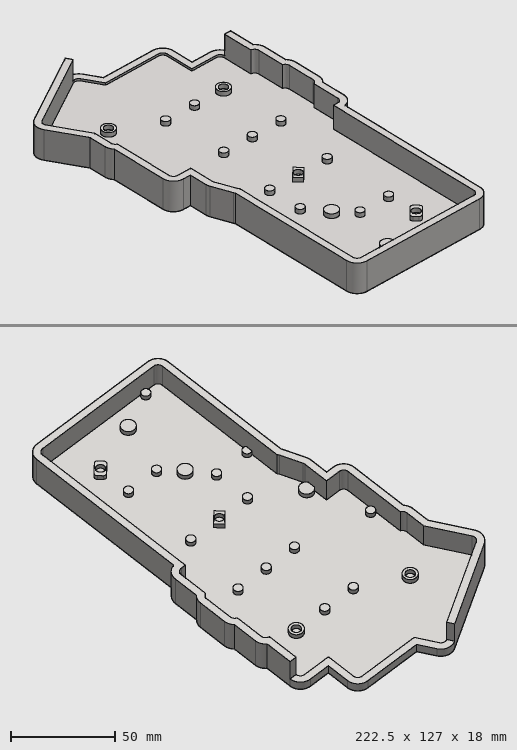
import cadquery as cq
import math

case_height = 18.0
low_rim_height = 5.3
floor_thickness = 4.0
post_height = 6.7
boss_height = post_height - floor_thickness

wall = 4.0
corner_radius = 3.0

outer_column_left = 16.2
outer_column_top = 99.5
pinky_left = 36.3
pinky_right = 70.0
pinky_top = 118.5
pinky_bottom = 16.5
ring_left = 57.5
index_right = 118.0
ring_index_top = 121.0
middle_left = 76.5
middle_right = 98.5
middle_top = 123.0
tray_right = 108.5
tray_bottom = 18.2
column_overlap_bottom = 44.5

block_right = 218.5
block_top = 115.5
block_bottom = 35.2
shelf_left = 100.1
shelf_right = 124.0
shelf_bottom = 29.8
shelf_slope = math.radians(21.0)
shelf_slope_run = 26.7

thumb_angle = math.radians(30.0)
thumb_length = 44.5
thumb_depth = 58.8
thumb_margin = wall - corner_radius * (math.cos(thumb_angle) + math.sin(thumb_angle) - 1)
thumb_corner_x = thumb_margin + thumb_depth * math.sin(thumb_angle)
thumb_corner_y = thumb_margin

low_rim_right = pinky_left + corner_radius

post_diameter = 5.0
pad_diameter = 7.8
screw_hole_diameter = 5.0
block_boss_angle = -45.0

post_places = [
    (59.0, 79.7), (59.0, 60.5),
    (97.0, 100.5), (97.0, 81.7), (97.0, 62.8),
    (135.0, 95.0), (135.0, 57.0),
    (178.0, 94.8), (178.0, 76.0),
    (156.2, 57.0), (156.2, 36.5),
    (216.3, 45.6), (87.7, 20.7),
]
pad_places = [(168.2, 66.3), (207.2, 66.3), (119.0, 33.0)]
round_boss_places = [(59.0, 98.8), (45.6, 35.4)]
sharp_block_place = (135.0, 76.0)
sharp_block_length = 8.5
sharp_block_width = 5.3
rounded_block_place = (197.2, 94.8)
rounded_block_length = 9.3
rounded_block_width = 6.0
rounded_block_radius = 1.5


def rectangle(left, right, bottom, top):
    """Corners of an upright rectangle."""
    return [(left, bottom), (right, bottom), (right, top), (left, top)]


def thumb_point(along, up):
    """Point in the thumb cluster, measured along its two sides from its lowest corner."""
    x = thumb_corner_x + along * math.cos(thumb_angle) - up * math.sin(thumb_angle)
    y = thumb_corner_y + along * math.sin(thumb_angle) + up * math.cos(thumb_angle)
    return (x, y)


def thumb_rectangle(left, right, bottom, top):
    """Corners of a rectangle turned with the thumb cluster."""
    return [thumb_point(along, up) for along, up in rectangle(left, right, bottom, top)]


def shelf_outline():
    """Corners of the shelf; its slope runs up into the wide block."""
    slope_top = shelf_bottom + shelf_slope_run * math.tan(shelf_slope)
    return [
        (shelf_left, shelf_bottom),
        (shelf_right, shelf_bottom),
        (shelf_right + shelf_slope_run, slope_top),
        (shelf_left, slope_top),
    ]


cavity_areas = [
    rectangle(outer_column_left, middle_left, column_overlap_bottom, outer_column_top),
    rectangle(pinky_left, pinky_right, pinky_bottom, pinky_top),
    rectangle(ring_left, index_right, column_overlap_bottom, ring_index_top),
    rectangle(middle_left, middle_right, column_overlap_bottom, middle_top),
    rectangle(ring_left, tray_right, tray_bottom, outer_column_top),
    rectangle(middle_left, block_right, block_bottom, block_top),
    shelf_outline(),
    thumb_rectangle(0, thumb_length, 0, thumb_depth),
]


def plan_body(grow, height):
    """The cavity areas joined together, grown outwards by `grow` and raised to `height`."""
    body = None
    for corners in cavity_areas:
        core = cq.Workplane("XY").polyline(corners).close().offset2D(-corner_radius)
        area = core.offset2D(corner_radius + grow, "arc").extrude(height)
        body = area if body is None else body.union(area)
    return body


def low_rim_cut():
    """Space above the low rim, from the pinky column round to the thumb cluster."""
    height = case_height - low_rim_height
    reach = block_right
    start = thumb_depth - corner_radius

    def raised_prism(corners):
        base = cq.Workplane("XY", origin=(0, 0, low_rim_height))
        return base.polyline(corners).close().extrude(height)

    above_thumb = raised_prism(thumb_rectangle(-reach, reach, start, start + reach))
    left_side = raised_prism(rectangle(-reach, low_rim_right, -reach, reach))
    return above_thumb.intersect(left_side)


def on_floor():
    """Workplane at floor level."""
    return cq.Workplane("XY", origin=(0, 0, floor_thickness))


def cylinders(places, diameter):
    """Equal cylinders from the floor up to the post height."""
    return on_floor().pushPoints(places).circle(diameter / 2).extrude(boss_height)


def block_boss(place, length, width):
    """Slanted rectangular screw boss."""
    block = on_floor().rect(length, width).extrude(boss_height)
    return block.rotate((0, 0, 0), (0, 0, 1), block_boss_angle).translate((*place, 0))


outer_body = plan_body(wall, case_height)
cavity = plan_body(0, case_height).translate((0, 0, floor_thickness))
shell = outer_body.cut(cavity).cut(low_rim_cut())

result = shell.union(cylinders(post_places, post_diameter))
result = result.union(cylinders(pad_places, pad_diameter))
result = result.union(cylinders(round_boss_places, pad_diameter))
result = result.union(block_boss(sharp_block_place, sharp_block_length, sharp_block_width))
rounded_block = block_boss(rounded_block_place, rounded_block_length, rounded_block_width)
result = result.union(rounded_block.edges("|Z").fillet(rounded_block_radius))

screw_places = round_boss_places + [sharp_block_place, rounded_block_place]
result = result.cut(cylinders(screw_places, screw_hole_diameter))